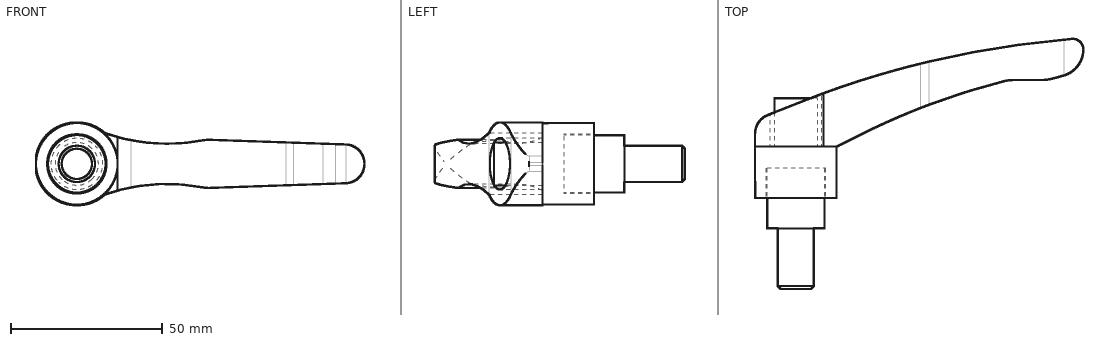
import cadquery as cq
import math


stud_diameter = 12.0
stud_length = 20.0
stud_chamfer = 1.0
sleeve_diameter = 19.0
hub_diameter = 27.0
hub_base_y = 10.0
hub_seam_y = 27.0
core_top_y = 31.5
bore_diameter = 19.6
bore_end_y = 20.0
button_diameter = 14.2
button_top_y = 43.0
button_hole_diameter = 17.0

head_diameter = 27.46
head_flat_x = -13.49
flat_top_y = 31.25
back_radius = 6.7
slope_angle = math.radians(21.4)
shoulder_x = 9.2
upper_arch_radius = 310.0
lower_arch_radius = 236.0
under_flat_y = 48.95
tip_top_start = (88.9, 62.38)
tip_crest = (91.25, 62.67)
tip_crest_radius = 3.72
tip_end_x = 95.0
tip_under_start = (88.9, 50.6)
tip_under_middle = (93.0, 53.55)
lip_start_x = 81.3
lip_end = (85.4, 49.6)
root_end = (17.9, 29.2)
arch_end = (69.0, 48.65)
under_flat_start_x = 71.5

neck_middle = (29.5, 6.65)
grip_start = (41.2, 7.75)
grip_widest = (44.0, 7.98)
grip_end_half_width = 6.45

trim_margin = 1.0
profile_width = head_diameter + 2 * trim_margin


def axial_cylinder(diameter, start_y, end_y):
    """Cylinder on the clamping axis between two heights."""
    plane = cq.Workplane("XZ", origin=(0, end_y, 0))
    return plane.circle(diameter / 2).extrude(end_y - start_y)


def shallow_arc(sketch, start, end, radius):
    """Draw an arc to end, bulging up and back (+Y, -X)."""
    dx = abs(end[0] - start[0])
    dy = abs(end[1] - start[1])
    chord = math.hypot(dx, dy)
    sag = radius - math.sqrt(radius**2 - (chord / 2) ** 2)
    middle = (
        (start[0] + end[0]) / 2 - sag * dy / chord,
        (start[1] + end[1]) / 2 + sag * dx / chord,
    )
    return sketch.threePointArc(middle, end)


def side_profile():
    """Lever profile in XY, extruded across the full width."""
    turn = math.pi / 2 - slope_angle
    slope_start = (
        head_flat_x + back_radius * (1 - math.cos(turn)),
        flat_top_y + back_radius * math.sin(turn),
    )
    back_middle = (
        head_flat_x + back_radius * (1 - math.cos(turn / 2)),
        flat_top_y + back_radius * math.sin(turn / 2),
    )
    shoulder = (
        shoulder_x,
        slope_start[1] + (shoulder_x - slope_start[0]) * math.tan(slope_angle),
    )
    tip_end = (tip_end_x, tip_crest[1] - tip_crest_radius)
    crest_middle = (
        tip_end_x - tip_crest_radius * (1 - math.sqrt(0.5)),
        tip_crest[1] - tip_crest_radius * (1 - math.sqrt(0.5)),
    )

    sketch = cq.Workplane("XY", origin=(0, 0, -profile_width / 2))
    sketch = sketch.moveTo(head_flat_x, hub_seam_y).lineTo(head_flat_x, flat_top_y)
    sketch = sketch.threePointArc(back_middle, slope_start).lineTo(*shoulder)
    sketch = shallow_arc(sketch, shoulder, tip_top_start, upper_arch_radius)
    sketch = sketch.tangentArcPoint(tip_crest, relative=False)
    sketch = sketch.threePointArc(crest_middle, tip_end)
    sketch = sketch.threePointArc(tip_under_middle, tip_under_start)
    sketch = sketch.lineTo(*lip_end).tangentArcPoint((lip_start_x, under_flat_y), relative=False)
    sketch = sketch.lineTo(under_flat_start_x, under_flat_y)
    sketch = sketch.tangentArcPoint(arch_end, relative=False)
    sketch = shallow_arc(sketch, arch_end, root_end, lower_arch_radius)
    sketch = sketch.lineTo(hub_diameter / 2, hub_seam_y)
    return sketch.close().extrude(profile_width)


def plan_outline():
    """Head circle and waisted grip in XZ, extruded over the full height."""
    top_y = tip_crest[1] + trim_margin
    plane = cq.Workplane("XZ", origin=(0, top_y, 0))
    depth = top_y - hub_seam_y
    head = plane.circle(head_diameter / 2).extrude(depth)

    shoulder_half_width = math.sqrt((head_diameter / 2) ** 2 - shoulder_x**2)
    grip_end_x = tip_end_x - grip_end_half_width
    sketch = plane.moveTo(shoulder_x, shoulder_half_width)
    sketch = sketch.threePointArc(neck_middle, grip_start)
    sketch = sketch.tangentArcPoint(grip_widest, relative=False)
    sketch = sketch.lineTo(grip_end_x, grip_end_half_width)
    sketch = sketch.threePointArc((tip_end_x, 0), (grip_end_x, -grip_end_half_width))
    sketch = sketch.lineTo(grip_widest[0], -grip_widest[1])
    sketch = sketch.tangentArcPoint((grip_start[0], -grip_start[1]), relative=False)
    sketch = sketch.threePointArc(
        (neck_middle[0], -neck_middle[1]),
        (shoulder_x, -shoulder_half_width),
    )
    return head.union(sketch.close().extrude(depth))


def lever():
    """Head, handle and hub in one piece, with the button hole and sleeve bore."""
    body = side_profile().intersect(plan_outline())
    body = body.union(axial_cylinder(hub_diameter, hub_base_y, core_top_y))
    body = body.cut(axial_cylinder(button_hole_diameter, hub_seam_y, tip_crest[1]))
    return body.cut(axial_cylinder(bore_diameter, hub_base_y, bore_end_y))


def clamping_insert():
    """Stud with chamfered end, sleeve and release button on the clamping axis."""
    stud = axial_cylinder(stud_diameter, -stud_length, 0).faces("<Y").chamfer(stud_chamfer)
    sleeve = axial_cylinder(sleeve_diameter, 0, bore_end_y)
    button = axial_cylinder(button_diameter, bore_end_y, button_top_y)
    return stud.union(sleeve).union(button)


result = lever().union(clamping_insert())